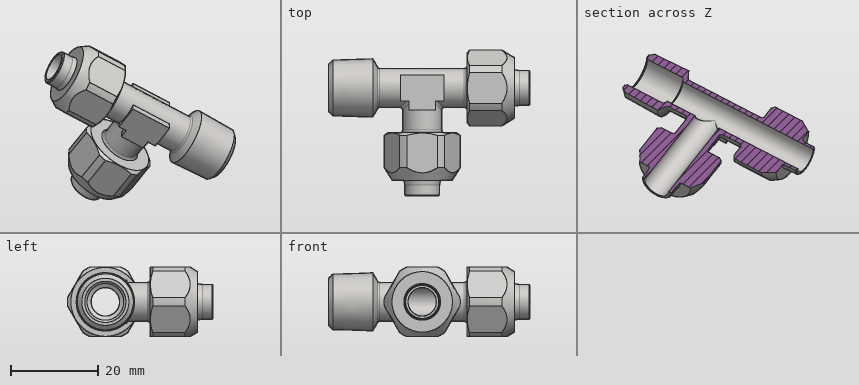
import cadquery as cq
import math

OVERALL_LENGTH = 46.3
ARM_TIP = 24.75
TUBE_RADIUS = 4.5
BORE_RADIUS = 3.25
CROTCH_FILLET = 0.7
NECK_FILLET = 0.5

TAPERED_END_X = ARM_TIP - OVERALL_LENGTH
TAPERED_LENGTH = 10.2
SHOULDER_X = TAPERED_END_X + TAPERED_LENGTH
TAPERED_MAX_RADIUS = 6.7
TAPER = 1 / 32
LEAD_CHAMFER = 1.0
SHOULDER_ANGLE = 60.0
SOCKET_RADIUS = 4.2
SOCKET_MOUTH_CHAMFER = 0.5
SOCKET_TIP_ANGLE = 59.0

NUT_START = 10.3
NUT_LENGTH = 10.93
NUT_END = NUT_START + NUT_LENGTH
NUT_FLATS = 16.0
NUT_RADIUS = 8.75
NUT_FRONT_RADIUS = 7.9
NUT_FRONT_CONE = 0.6
NUT_BACK_RADIUS = 6.95
NUT_BACK_CONE = 2.9
COLLAR_HEIGHT = 0.4
SLEEVE_RADIUS = 4.05
SLEEVE_ROOT_RADIUS = 4.2
SLEEVE_ROOT_LENGTH = 1.1
SLEEVE_CHAMFER = 0.25

BLOCK_HEIGHT = 10.0
BLOCK_LENGTH = 10.0
BLOCK_WIDTH = 6.0
BLOCK_REACH = 5.0

PICK_MARGIN = 0.05


def turned(profile):
    """Revolve a closed profile of (x, radius) points about the X axis."""
    return cq.Workplane("XY").polyline(profile).close().revolve(360, (0, 0, 0), (1, 0, 0))


def round_neck(body, x):
    """Fillet the circular edge of arm radius at position x."""
    reach = TUBE_RADIUS + PICK_MARGIN
    around_edge = cq.selectors.BoxSelector(
        (x - PICK_MARGIN, -reach, -reach), (x + PICK_MARGIN, reach, reach), boundingbox=True
    )
    return body.edges(around_edge).fillet(NECK_FILLET)


def tapered_arm():
    lead_end = TAPERED_END_X + LEAD_CHAMFER
    lead_radius = TAPERED_MAX_RADIUS - TAPER * (SHOULDER_X - lead_end)
    cone_length = (TAPERED_MAX_RADIUS - TUBE_RADIUS) / math.tan(math.radians(SHOULDER_ANGLE))
    neck = SHOULDER_X + cone_length
    body = turned([
        (TAPERED_END_X, 0),
        (TAPERED_END_X, lead_radius - LEAD_CHAMFER),
        (lead_end, lead_radius),
        (SHOULDER_X, TAPERED_MAX_RADIUS),
        (neck, TUBE_RADIUS),
        (0, TUBE_RADIUS),
        (0, 0),
    ])
    return round_neck(body, neck)


def nut():
    hexagon = (
        cq.Workplane("YZ", origin=(NUT_START, 0, 0))
        .polygon(6, NUT_FLATS / math.cos(math.pi / 6))
        .extrude(NUT_LENGTH)
    )
    envelope = turned([
        (NUT_START, 0),
        (NUT_START, NUT_FRONT_RADIUS),
        (NUT_START + NUT_FRONT_CONE, NUT_RADIUS),
        (NUT_END - NUT_BACK_CONE, NUT_RADIUS),
        (NUT_END, NUT_BACK_RADIUS),
        (NUT_END, 0),
    ])
    return hexagon.intersect(envelope)


def nut_arm():
    """Arm along +X with its collar, nut and sleeve."""
    neck = NUT_START - COLLAR_HEIGHT
    tube = turned([
        (0, 0),
        (0, TUBE_RADIUS),
        (neck, TUBE_RADIUS),
        (NUT_START, TUBE_RADIUS + COLLAR_HEIGHT),
        (NUT_START, 0),
    ])
    sleeve = turned([
        (NUT_END, 0),
        (NUT_END, SLEEVE_ROOT_RADIUS),
        (NUT_END + SLEEVE_ROOT_LENGTH, SLEEVE_RADIUS),
        (ARM_TIP - SLEEVE_CHAMFER, SLEEVE_RADIUS),
        (ARM_TIP, SLEEVE_RADIUS - SLEEVE_CHAMFER),
        (ARM_TIP, 0),
    ])
    return round_neck(tube, neck).union(nut()).union(sleeve)


def to_branch(body):
    """Turn a body from the +X direction to the -Y direction."""
    return body.rotate((0, 0, 0), (0, 0, 1), -90)


def block():
    head = cq.Workplane("XY").box(BLOCK_LENGTH, BLOCK_WIDTH, BLOCK_HEIGHT)
    stem = cq.Workplane("XY").box(BLOCK_WIDTH, BLOCK_REACH, BLOCK_HEIGHT).translate((0, -BLOCK_REACH / 2, 0))
    return head.union(stem)


def round_crotch(body):
    """Fillet the two edges where the run and the branch meet beside the block."""
    inner = BLOCK_WIDTH / 2 - PICK_MARGIN
    outer = TUBE_RADIUS + PICK_MARGIN
    for x_min, x_max in ((-outer, -inner), (inner, outer)):
        corner = cq.selectors.BoxSelector(
            (x_min, -outer, -TUBE_RADIUS), (x_max, -inner, TUBE_RADIUS), boundingbox=True
        )
        body = body.edges(corner).fillet(CROTCH_FILLET)
    return body


def bores():
    branch_bore = turned([(0, 0), (0, BORE_RADIUS), (ARM_TIP, BORE_RADIUS), (ARM_TIP, 0)])
    mouth_end = TAPERED_END_X + SOCKET_MOUTH_CHAMFER
    tip_length = (SOCKET_RADIUS - BORE_RADIUS) / math.tan(math.radians(SOCKET_TIP_ANGLE))
    run_bore = turned([
        (TAPERED_END_X, 0),
        (TAPERED_END_X, SOCKET_RADIUS + SOCKET_MOUTH_CHAMFER),
        (mouth_end, SOCKET_RADIUS),
        (SHOULDER_X, SOCKET_RADIUS),
        (SHOULDER_X + tip_length, BORE_RADIUS),
        (ARM_TIP, BORE_RADIUS),
        (ARM_TIP, 0),
    ])
    return run_bore.union(to_branch(branch_bore))


arm = nut_arm()
solid_tee = tapered_arm().union(arm).union(to_branch(arm)).union(block())
result = round_crotch(solid_tee).cut(bores())